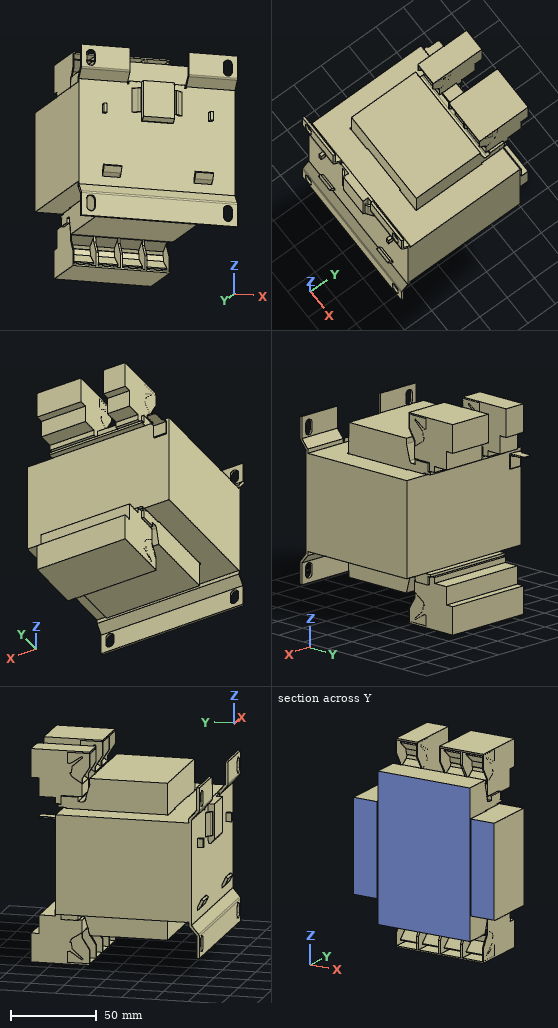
import cadquery as cq


WIDTH = 96.0
HEIGHT = 128.2
DEPTH = 106.4

SHEET = 1.7
PLATE_FRONT = 4.7
PLATE_BACK = PLATE_FRONT + SHEET
PLATE_HALF_HEIGHT = 51.3
PANEL_HALF_HEIGHT = 32.4
PANEL_BEND = 31.5
FOOT_BEND_FRONT = 37.2
FOOT_BEND_BACK = 37.8
BEND_RADIUS = 1.8
NOTCH_HALF_WIDTH = 18.1
RELIEF_WIDTH = 0.9
RELIEF_BOTTOM = 30.8
SLOT_X = 42.0
SLOT_Z = 43.6
SLOT_LENGTH = 9.4
SLOT_WIDTH = 5.3

LATCH_HALF_WIDTH = 9.5
LATCH_FRONT = 1.0
GUIDE_TOP = 28.2
GUIDE_BOTTOM = 13.8
PIN_OUTER_X = 33.6
PIN_WIDTH = 1.9
PIN_TOP = 17.2
PIN_BOTTOM = 11.9
PIN_FRONT = 1.5
HOOK_WIDTH = 10.9

CORE_BACK = 86.8
CORE_HALF_HEIGHT = 29.9
WINDOW_INNER_X = 15.9
WINDOW_OUTER_X = 31.9
WINDOW_FRONT = 23.0
WINDOW_BACK = 70.9

COIL_HALF_WIDTH = 31.4
COIL_FRONT = 23.5
COIL_BACK = 70.4
COIL_TOP = 48.7
COIL_BOTTOM = -45.6
LEDGE_TOP = 37.0
LEDGE_BACK = 87.7
LEDGE_FRONT = 77.4
LIP_BACK = 89.7
LIP_BOTTOM = 30.4
LIP_TOP = 31.9
GROOVE_BOTTOM = 34.4

BLOCK_PITCH = 14.94
BLOCK_TOP = HEIGHT / 2
BLOCK_WALL = 0.6
BLOCK_ROOF = 1.0
BLOCK_FRONT = 70.8
BLOCK_THROAT = 75.4
MOUTH_BOTTOM = 44.6
CLIP_BOTTOM = 51.0
UPPER_BLOCKS = (0, 2, 3)
LOWER_BLOCKS = (0, 1, 2, 3)

TAB_X = -42.2
TAB_SHEET = 0.9
TAB_TOP = 27.7
TAB_FOOT_BOTTOM = 18.6
TAB_WIDE = 8.2
TAB_NARROW = 6.3
TAB_SHOULDER = 90.0
TAB_END = 97.8
TAB_CHAMFER = 0.9


def box(x_range, y_range, z_range):
    """Box between the given limits."""
    size = [high - low for low, high in (x_range, y_range, z_range)]
    corner = (x_range[0], y_range[0], z_range[0])
    return cq.Workplane("XY").box(*size, centered=False).translate(corner)


def side_prism(points, x_range):
    """Prism along X over an outline of (y, z) points."""
    plane = cq.Workplane("YZ", origin=(x_range[0], 0, 0))
    return plane.polyline(points).close().extrude(x_range[1] - x_range[0])


def both_sides(shape):
    """The shape together with its mirror image across X = 0."""
    return shape.union(shape.mirror("YZ"))


def mounting_plate():
    half = WIDTH / 2
    front = [
        (0, PLATE_HALF_HEIGHT),
        (0, FOOT_BEND_FRONT),
        (PLATE_FRONT, PANEL_BEND),
    ]
    back = [
        (PLATE_BACK, PANEL_HALF_HEIGHT),
        (SHEET, FOOT_BEND_BACK),
        (SHEET, PLATE_HALF_HEIGHT),
    ]
    front += [(y, -z) for y, z in reversed(front)]
    back = [(y, -z) for y, z in reversed(back)] + back
    plate = side_prism(front + back, (-half, half))
    for z in (FOOT_BEND_FRONT, -FOOT_BEND_FRONT):
        bend = cq.selectors.NearestToPointSelector((0, 0, z))
        plate = plate.edges(bend).fillet(BEND_RADIUS)

    notch = (-NOTCH_HALF_WIDTH, NOTCH_HALF_WIDTH)
    plate = plate.cut(box(notch, (0, PLATE_BACK), (RELIEF_BOTTOM, PLATE_HALF_HEIGHT)))
    middle = NOTCH_HALF_WIDTH - RELIEF_WIDTH
    plate = plate.union(
        box((-middle, middle), (PLATE_FRONT, PLATE_BACK), (RELIEF_BOTTOM, PANEL_HALF_HEIGHT))
    )

    slot_centres = [(x, z) for x in (-SLOT_X, SLOT_X) for z in (-SLOT_Z, SLOT_Z)]
    slots = (
        cq.Workplane("XZ")
        .pushPoints(slot_centres)
        .slot2D(SLOT_LENGTH, SLOT_WIDTH, 90)
        .extrude(-SHEET)
    )
    return plate.cut(slots)


def rail_latch():
    """Sliding latch with a hooked lower end."""
    outline = [
        (PLATE_FRONT, PANEL_HALF_HEIGHT),
        (LATCH_FRONT, PANEL_HALF_HEIGHT),
        (LATCH_FRONT, 11.0),
        (3.1, 8.7),
        (4.4, 8.7),
        (PLATE_FRONT, 10.5),
    ]
    return side_prism(outline, (-LATCH_HALF_WIDTH, LATCH_HALF_WIDTH))


def latch_guides():
    """Bent flaps on both sides of the latch."""
    outline = [
        (-15.3, PLATE_FRONT),
        (-12.4, 2.5),
        (-10.8, 1.5),
        (-10.3, 2.0),
        (-13.1, PLATE_FRONT),
    ]
    plane = cq.Workplane("XY", origin=(0, 0, GUIDE_BOTTOM))
    return both_sides(plane.polyline(outline).close().extrude(GUIDE_TOP - GUIDE_BOTTOM))


def rail_pins():
    x_range = (-PIN_OUTER_X, -PIN_OUTER_X + PIN_WIDTH)
    return both_sides(box(x_range, (PIN_FRONT, PLATE_FRONT), (PIN_BOTTOM, PIN_TOP)))


def rail_hooks():
    """Slanted tongues that grip the lower edge of the rail."""
    outline = [
        (PLATE_FRONT, -23.8),
        (2.5, -19.2),
        (LATCH_FRONT, -20.1),
        (2.8, -23.7),
        (PLATE_FRONT, -25.9),
    ]
    return both_sides(side_prism(outline, (-PIN_OUTER_X, -PIN_OUTER_X + HOOK_WIDTH)))


def core():
    half = WIDTH / 2
    z_range = (-CORE_HALF_HEIGHT, CORE_HALF_HEIGHT)
    window = box((WINDOW_INNER_X, WINDOW_OUTER_X), (WINDOW_FRONT, WINDOW_BACK), z_range)
    return box((-half, half), (PLATE_BACK, CORE_BACK), z_range).cut(both_sides(window))


def coil_former():
    """Coil body with a ledge for the terminal blocks; the coil is taller above the core than below."""
    upper = (
        cq.Workplane("YZ", origin=(-COIL_HALF_WIDTH, 0, 0))
        .moveTo(COIL_FRONT, 0)
        .lineTo(COIL_FRONT, COIL_TOP)
        .lineTo(COIL_BACK, COIL_TOP)
        .lineTo(COIL_BACK, 45.4)
        .lineTo(73.1, 35.6)
        .tangentArcPoint((75.0, GROOVE_BOTTOM), relative=False)
        .lineTo(LEDGE_FRONT, GROOVE_BOTTOM)
        .lineTo(LEDGE_FRONT, LEDGE_TOP)
        .lineTo(LEDGE_BACK, LEDGE_TOP)
        .lineTo(LEDGE_BACK, LIP_TOP)
        .lineTo(LIP_BACK, LIP_TOP)
        .lineTo(LIP_BACK, LIP_BOTTOM)
        .lineTo(84.6, LIP_BOTTOM)
        .lineTo(84.6, CORE_HALF_HEIGHT)
        .lineTo(WINDOW_BACK, CORE_HALF_HEIGHT)
        .lineTo(WINDOW_BACK, 0)
        .close()
        .extrude(2 * COIL_HALF_WIDTH)
    )
    lower = upper.mirror("XY").cut(
        box((-COIL_HALF_WIDTH, COIL_HALF_WIDTH), (COIL_FRONT, COIL_BACK), (-COIL_TOP, COIL_BOTTOM))
    )
    return upper.union(lower)


def terminal_block(index):
    """Upper terminal block at the given place in the row, with an open mouth and a clip."""
    left = (index - len(LOWER_BLOCKS) / 2) * BLOCK_PITCH
    right = left + BLOCK_PITCH
    inside = (left + BLOCK_WALL, right - BLOCK_WALL)
    housing = [
        (DEPTH, BLOCK_TOP),
        (DEPTH, 46.7),
        (101.4, 46.7),
        (101.4, 35.5),
        (91.7, 35.5),
        (91.7, LIP_TOP),
        (LEDGE_BACK, LIP_TOP),
        (LEDGE_BACK, LEDGE_TOP),
        (BLOCK_THROAT, LEDGE_TOP),
        (BLOCK_THROAT, 47.7),
        (BLOCK_FRONT, 55.0),
        (BLOCK_FRONT, BLOCK_TOP),
    ]
    ceiling = BLOCK_TOP - BLOCK_ROOF
    mouth = [
        (84.2, ceiling),
        (84.2, 56.7),
        (83.0, 56.4),
        (83.0, CLIP_BOTTOM),
        (81.9, 48.8),
        (BLOCK_THROAT, MOUTH_BOTTOM),
        (BLOCK_FRONT, MOUTH_BOTTOM),
        (BLOCK_FRONT, ceiling),
    ]
    clip = [
        (83.0, CLIP_BOTTOM),
        (83.0, 56.3),
        (75.6, 61.0),
        (75.1, 60.4),
        (81.5, 54.7),
        (82.0, CLIP_BOTTOM),
    ]
    block = side_prism(housing, (left, right)).cut(side_prism(mouth, inside))
    return block.union(side_prism(clip, inside))


def earth_tab():
    """Angled blade on the back of the core."""
    foot_half = TAB_WIDE / 2
    blade_half = TAB_NARROW / 2
    foot_back = CORE_BACK + TAB_SHEET
    foot_x = (TAB_X - foot_half, TAB_X + foot_half)
    blade_x = (TAB_X - blade_half, TAB_X + blade_half)
    blade_z = (TAB_TOP - TAB_SHEET, TAB_TOP)
    foot = box(foot_x, (CORE_BACK, foot_back), (TAB_FOOT_BOTTOM, TAB_TOP))
    shoulder = box(foot_x, (CORE_BACK, TAB_SHOULDER), blade_z)
    blade = box(blade_x, (CORE_BACK, TAB_END), blade_z)
    blade = blade.faces(">Y").edges("|Z").chamfer(TAB_CHAMFER)
    return foot.union(shoulder).union(blade)


result = core().union(coil_former()).union(mounting_plate())
for detail in (rail_latch(), latch_guides(), rail_pins(), rail_hooks(), earth_tab()):
    result = result.union(detail)
for place in UPPER_BLOCKS:
    result = result.union(terminal_block(place))
for place in LOWER_BLOCKS:
    result = result.union(terminal_block(place).mirror("XY"))